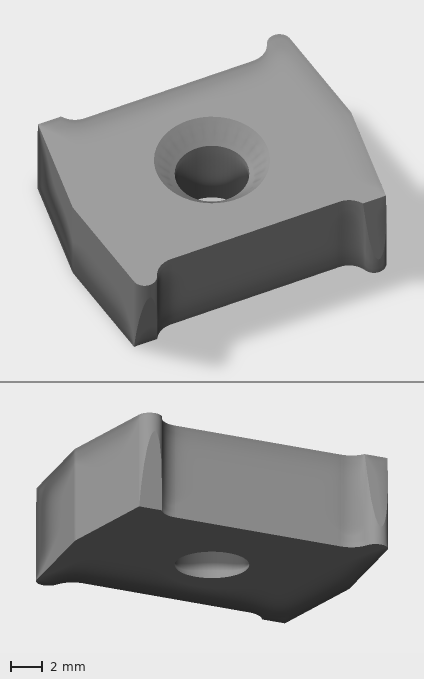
import cadquery as cq
import math

length = 19.3
width = 15.95
thickness = 6.2
waist_width = 13.09

lobe_radius = 0.8
lobe_y = 7.95
lobe_x = width / 2 - lobe_radius
ridge_radius = 0.96
ridge_y = length / 2 - ridge_radius
waist_x = waist_width / 2
waist_end_y = 5.85

hole_diameter = 4.7
countersink_diameter = 7.31
countersink_angle = 90

flat_edge_x = 7.3
flat_depth = 4.98
flat_clearance = 0.39


def point_on_circle(center_x, center_y, radius, angle):
    return (center_x + radius * math.cos(angle), center_y + radius * math.sin(angle))


def make_body():
    rise = lobe_y - ridge_y
    spacing = math.hypot(lobe_x, rise)
    end_normal = math.atan2(rise, lobe_x) + math.acos((ridge_radius - lobe_radius) / spacing)

    step_x = lobe_x - waist_x
    step_y = lobe_y - waist_end_y
    blend_radius = (step_x**2 + step_y**2 - lobe_radius**2) / (2 * (step_x + lobe_radius))
    blend_x = waist_x + blend_radius
    blend_start = math.atan2(step_y, lobe_x - blend_x)
    lobe_end = blend_start - math.pi

    ridge_tangent = point_on_circle(0, ridge_y, ridge_radius, end_normal)
    lobe_tangent = point_on_circle(lobe_x, lobe_y, lobe_radius, end_normal)
    lobe_middle = (width / 2, lobe_y)
    blend_join = point_on_circle(lobe_x, lobe_y, lobe_radius, lobe_end)
    blend_middle = point_on_circle(
        blend_x, waist_end_y, blend_radius, (blend_start + math.pi) / 2
    )

    quarter = (
        cq.Workplane("XY")
        .moveTo(0, length / 2)
        .threePointArc(
            point_on_circle(0, ridge_y, ridge_radius, (end_normal + math.pi / 2) / 2),
            ridge_tangent,
        )
        .lineTo(*lobe_tangent)
        .threePointArc(lobe_middle, blend_join)
        .threePointArc(blend_middle, (waist_x, waist_end_y))
        .lineTo(waist_x, 0)
        .lineTo(0, 0)
        .close()
        .extrude(thickness)
    )
    half = quarter.union(quarter.mirror("YZ"))
    return half.union(half.mirror("XZ")).clean()


def make_relief_cutter():
    slope = (width / 2 - flat_edge_x) / flat_depth
    outer_x = width / 2 + flat_clearance
    runout_z = thickness - (outer_x - flat_edge_x) / slope
    return (
        cq.Workplane("XZ")
        .moveTo(flat_edge_x, thickness)
        .lineTo(outer_x, thickness)
        .lineTo(outer_x, runout_z)
        .close()
        .extrude(-length / 2)
    )


def cut_relief_flats(body):
    top_cutter = make_relief_cutter()
    bottom_cutter = top_cutter.rotate(
        (0, 0, thickness / 2), (0, 1, thickness / 2), 180
    )
    for cutter in (top_cutter, bottom_cutter):
        for turn in (0, 180):
            body = body.cut(cutter.rotate((0, 0, 0), (0, 0, 1), turn))
    return body


def cut_center_hole(body):
    return (
        body.faces(">Z")
        .workplane(origin=(0, 0, thickness))
        .cskHole(hole_diameter, countersink_diameter, countersink_angle)
    )


result = cut_center_hole(cut_relief_flats(make_body()))